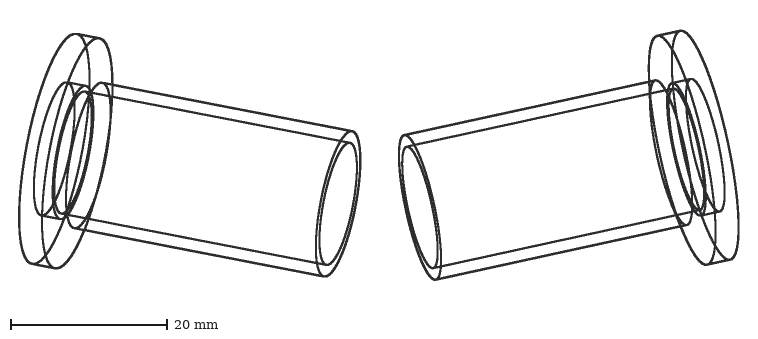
import cadquery as cq
import math

length = 38.1
flange_radius = 15.0
tube_radius = 9.5
bore_radius = 7.95
recess_radius = 8.7
recess_depth = 2.5
rim_width = 3.1
clamp_angle = 15.0

cone_width = (flange_radius - tube_radius) * math.tan(math.radians(clamp_angle))

outer_profile = (
    cq.Workplane("XY")
    .lineTo(0, flange_radius)
    .lineTo(rim_width, flange_radius)
    .lineTo(rim_width + cone_width, tube_radius)
    .lineTo(length, tube_radius)
    .lineTo(length, 0)
    .close()
)
body = outer_profile.revolve(360, (0, 0, 0), (1, 0, 0))

bore = cq.Workplane("YZ").circle(bore_radius).extrude(length)
recess = cq.Workplane("YZ").circle(recess_radius).extrude(recess_depth)

result = body.cut(bore).cut(recess)